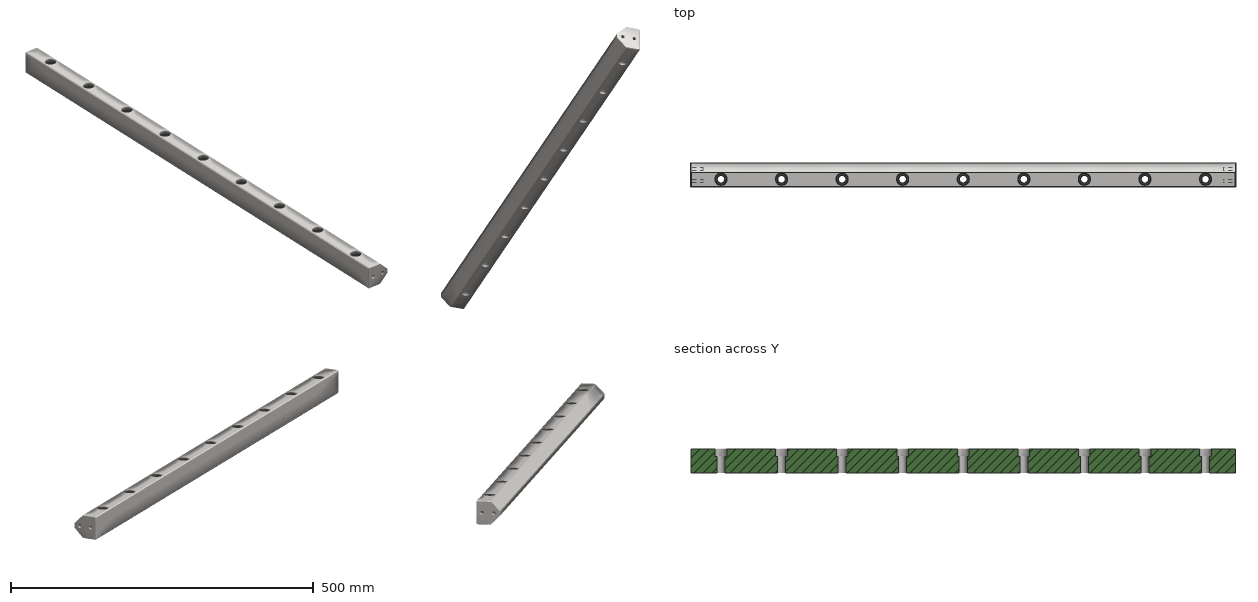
import cadquery as cq

LENGTH = 900.0
WIDTH = 40.0
HEIGHT = 40.0
NOSE_BEVEL = 16.0
EDGE_CHAMFER = 1.4
END_CHAMFER = 1.0

MOUNT_COUNT = 9
MOUNT_PITCH = 100.0
MOUNT_Y = -7.0
MOUNT_DIAMETER = 12.5
COUNTERBORE_DIAMETER = 18.5
COUNTERBORE_DEPTH = 12.0
MOUNT_MOUTH_CHAMFER = 0.75

END_HOLE_DIAMETER = 5.25
END_HOLE_DEPTH = 20.0
END_HOLE_MOUTH_CHAMFER = 0.75
END_HOLE_Y_POSITIONS = (-10.0, 10.0)


def rail_body():
    """Bar along X: chamfered block whose +Y side is narrowed to the bevelled nose."""
    bar = cq.Workplane("XY").box(LENGTH, WIDTH, HEIGHT)
    nose_outline = bar.faces(">Y").edges("|X").chamfer(NOSE_BEVEL)
    block = bar.faces("<Y").edges("|X").chamfer(EDGE_CHAMFER)
    block = block.faces("<X or >X").edges("not >Y").chamfer(END_CHAMFER)
    return block.intersect(nose_outline)


def chamfered_mouth(diameter, chamfer, mouth, inward):
    """Conical cutter that breaks the rim of a hole of the given diameter."""
    radius = diameter / 2
    return cq.Solid.makeCone(radius + chamfer, radius, chamfer, mouth, inward)


def drill_mounting_holes(body):
    """Row of counterbored through holes with chamfered rims, centred along the length."""
    down = cq.Vector(0, 0, -1)
    first_x = -MOUNT_PITCH * (MOUNT_COUNT - 1) / 2
    for index in range(MOUNT_COUNT):
        mouth = cq.Vector(first_x + index * MOUNT_PITCH, MOUNT_Y, HEIGHT / 2)
        body = body.cut(cq.Solid.makeCylinder(MOUNT_DIAMETER / 2, HEIGHT, mouth, down))
        body = body.cut(cq.Solid.makeCylinder(COUNTERBORE_DIAMETER / 2, COUNTERBORE_DEPTH, mouth, down))
        body = body.cut(chamfered_mouth(COUNTERBORE_DIAMETER, MOUNT_MOUTH_CHAMFER, mouth, down))
    return body


def drill_end_holes(body):
    """Two blind holes with chamfered rims in each end face, at mid height."""
    for side in (-1, 1):
        inward = cq.Vector(-side, 0, 0)
        for y in END_HOLE_Y_POSITIONS:
            mouth = cq.Vector(side * LENGTH / 2, y, 0)
            body = body.cut(cq.Solid.makeCylinder(END_HOLE_DIAMETER / 2, END_HOLE_DEPTH, mouth, inward))
            body = body.cut(chamfered_mouth(END_HOLE_DIAMETER, END_HOLE_MOUTH_CHAMFER, mouth, inward))
    return body


result = drill_end_holes(drill_mounting_holes(rail_body()))